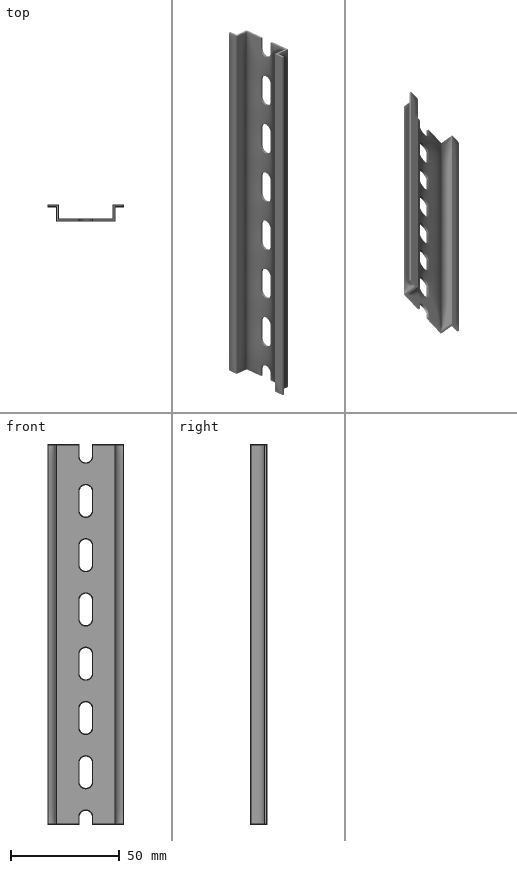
import cadquery as cq

rail_width = 35.0
rail_depth = 7.5
rail_length = 175.0
sheet_thickness = 1.0
channel_width = 27.0

slot_width = 6.2
slot_length = 15.0
slot_pitch = 25.0
slot_count = 8
slot_row_offset = -1.0


def make_rail():
    """Extrude the top-hat section: web at -Y, flanges at +Y, centred on the origin."""
    edge = rail_width / 2
    wall_outside = channel_width / 2
    wall_inside = wall_outside - sheet_thickness
    front = -rail_depth / 2
    back = rail_depth / 2
    right_half = [
        (wall_outside, front),
        (wall_outside, back - sheet_thickness),
        (edge, back - sheet_thickness),
        (edge, back),
        (wall_inside, back),
        (wall_inside, front + sheet_thickness),
    ]
    left_half = [(-x, y) for x, y in reversed(right_half)]
    return (
        cq.Workplane("XY")
        .polyline(right_half + left_half)
        .close()
        .extrude(rail_length / 2, both=True)
    )


def make_slot_row():
    """Upright obround cutters, evenly spaced along Z."""
    return (
        cq.Workplane("XZ")
        .center(0, slot_row_offset)
        .rarray(slot_pitch, slot_pitch, 1, slot_count)
        .slot2D(slot_length, slot_width, 90)
        .extrude(rail_depth, both=True)
    )


result = make_rail().cut(make_slot_row())